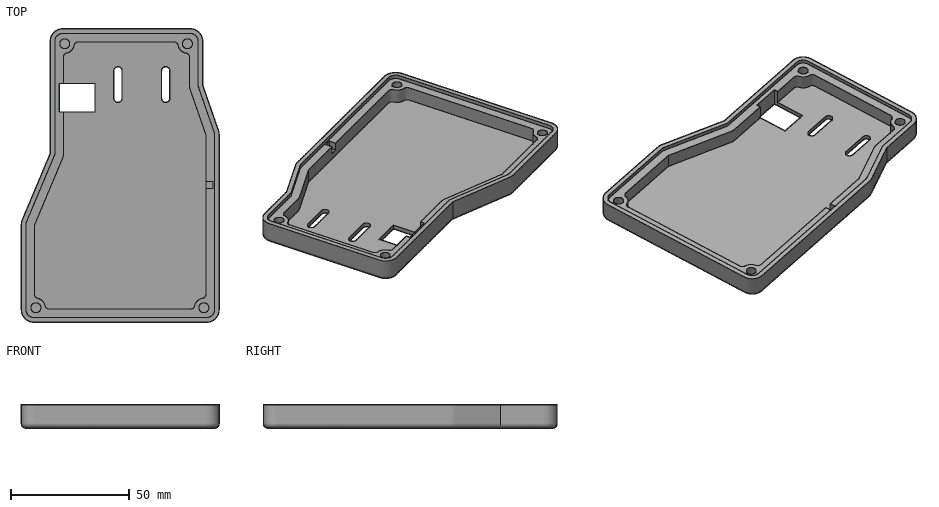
import cadquery as cq

width = 83.75
length = 124.25
height = 10.0
floor_thickness = 2.0
bottom_fillet = 2.0
corner_radius = 5.4

lip_width = 2.0
lip_height = 1.7
wall_thickness = 5.65

top_left_x = 12.2
top_right_x = 76.8
left_bend_low_y = 42.4
left_bend_high_y = 71.4
right_bend_low_y = 80.3
right_bend_high_y = 100.3

boss_left_inset = 6.2
boss_right_inset = 6.5
boss_bottom_inset = 6.2
boss_top_inset = 6.4
boss_radius = 4.0
boss_blend_radius = 1.7
screw_hole_diameter = 4.2
screw_hole_depth = 6.0

slot_width = 3.4
slot_length = 15.0
slot_center_y = 100.6
slot_center_xs = (40.9, 61.1)
window_width = 15.0
window_length = 12.0
window_left_x = 16.1
window_low_y = 89.0

notch_width = 3.0
notch_center_y = 58.1
notch_end_x = 81.1
notch_depth = 3.5

ledge_z = height - lip_height
outer_corners = [
    (0, 0),
    (width, 0),
    (width, right_bend_low_y),
    (top_right_x, right_bend_high_y),
    (top_right_x, length),
    (top_left_x, length),
    (top_left_x, left_bend_high_y),
    (0, left_bend_low_y),
]
boss_centers = [
    (boss_left_inset, boss_bottom_inset),
    (width - boss_right_inset, boss_bottom_inset),
    (top_left_x + boss_left_inset, length - boss_top_inset),
    (top_right_x - boss_right_inset, length - boss_top_inset),
]


def sharp_inset(z, inset):
    """Outline at height z, moved inward with all corners kept sharp."""
    return cq.Workplane("XY", origin=(0, 0, z)).polyline(outer_corners).close().offset2D(-inset)


def rounded_inset(z, inset):
    """Outline at height z, moved inward with its convex corners rounded about common centers."""
    return sharp_inset(z, corner_radius).offset2D(corner_radius - inset, "arc")


def make_body():
    body = rounded_inset(0, 0).extrude(height)
    body = body.faces("<Z").edges().fillet(bottom_fillet)
    return body.cut(rounded_inset(ledge_z, lip_width).extrude(lip_height))


def make_pocket():
    """Cavity above the floor, with the screw bosses left standing and blended into its walls."""
    depth = ledge_z - floor_thickness
    floor_plane = cq.Workplane("XY", origin=(0, 0, floor_thickness))
    pocket = sharp_inset(floor_thickness, wall_thickness).extrude(depth)
    pocket = pocket.cut(floor_plane.pushPoints(boss_centers).circle(boss_radius).extrude(depth))
    reach = boss_radius + boss_blend_radius
    vertical = cq.selectors.ParallelDirSelector(cq.Vector(0, 0, 1))
    for x, y in boss_centers:
        near_boss = cq.selectors.BoxSelector((x - reach, y - reach, 0), (x + reach, y + reach, height))
        pocket = pocket.edges(vertical & near_boss).fillet(boss_blend_radius)
    return pocket


def make_screw_holes():
    top = cq.Workplane("XY", origin=(0, 0, ledge_z))
    return top.pushPoints(boss_centers).circle(screw_hole_diameter / 2).extrude(-screw_hole_depth)


def make_slots():
    centers = [(x, slot_center_y) for x in slot_center_xs]
    return cq.Workplane("XY").pushPoints(centers).slot2D(slot_length, slot_width, 90).extrude(floor_thickness)


def make_window():
    """Rectangular opening that also cuts into the left ledge."""
    window = cq.Workplane("XY").box(window_width, window_length, height, centered=False)
    return window.translate((window_left_x, window_low_y, 0))


def make_notch():
    start_x = width - wall_thickness - boss_radius
    notch = cq.Workplane("XY").box(notch_end_x - start_x, notch_width, notch_depth, centered=False)
    return notch.translate((start_x, notch_center_y - notch_width / 2, ledge_z - notch_depth))


result = make_body()
for cutter in (make_pocket(), make_screw_holes(), make_slots(), make_window(), make_notch()):
    result = result.cut(cutter)